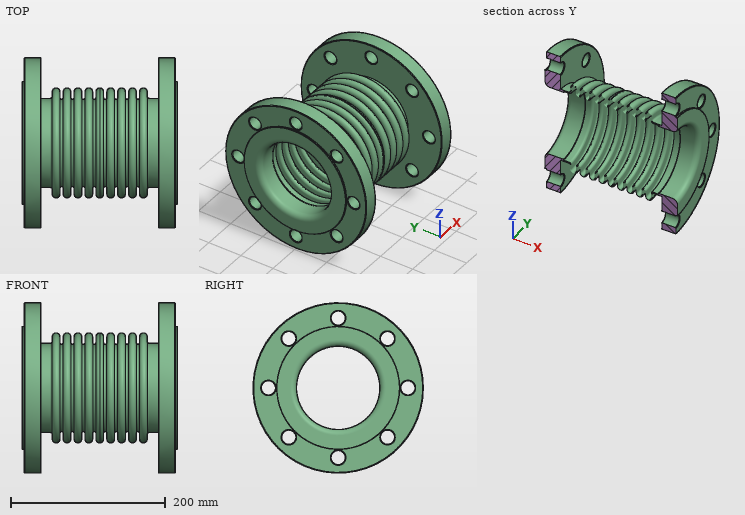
import cadquery as cq
import math


total_length = 200.0
flange_dia = 220.0
flange_thickness = 22.0
flange_chamfer = 1.0
raised_face_dia = 158.0
raised_face_height = 2.5
raised_face_chamfer = 0.5
bore_dia = 107.1
bore_mouth_radius = 8.0

bolt_count = 8
bolt_hole_dia = 18.0
bolt_hole_chamfer = 1.0
bolt_circle_dia = 180.0

neck_outer_dia = 115.3
neck_inner_dia = 110.0
neck_recess_start = 71.3
flare_center_dia = 120.3

convolution_count = 9
pitch = 14.0
crest_outer_dia = 142.1
trough_outer_dia = 112.9
trough_center_dia = 116.8

face_x = total_length / 2
flange_outer_x = face_x - raised_face_height
flange_inner_x = flange_outer_x - flange_thickness
wall = (trough_outer_dia - neck_inner_dia) / 2
trough_outer_radius = (trough_center_dia - trough_outer_dia) / 2
crest_outer_radius = pitch / 2 - trough_outer_radius
crest_center_r = crest_outer_dia / 2 - crest_outer_radius
trough_center_r = trough_center_dia / 2
side_crests = convolution_count // 2
flare_outer_radius = (flare_center_dia - neck_outer_dia) / 2


def arc_to(path, center, radius, start_angle, end_angle):
    """Continue a path along an arc; the path must already be at the start angle."""
    def point(angle):
        turn = math.radians(angle)
        return center[0] + radius * math.cos(turn), center[1] + radius * math.sin(turn)

    return path.threePointArc(point((start_angle + end_angle) / 2), point(end_angle))


def add_bellows(path, neck_r, crest_radius, trough_radius, flare_radius):
    """Run one surface of the bellows wall from the neck to the top of the middle crest."""
    flare_x = side_crests * pitch + crest_radius + flare_radius
    path = path.lineTo(flare_x, neck_r)
    path = arc_to(path, (flare_x, neck_r + flare_radius), flare_radius, 270, 180)
    for index in range(side_crests, 0, -1):
        crest_x = index * pitch
        trough_x = crest_x - pitch / 2
        path = path.lineTo(crest_x + crest_radius, crest_center_r)
        path = arc_to(path, (crest_x, crest_center_r), crest_radius, 0, 180)
        path = path.lineTo(crest_x - crest_radius, trough_center_r)
        path = arc_to(path, (trough_x, trough_center_r), trough_radius, 360, 180)
    path = path.lineTo(crest_radius, crest_center_r)
    return arc_to(path, (0, crest_center_r), crest_radius, 0, 90)


def revolve_about_x(path):
    """Close a half profile down to the axis and revolve it about X."""
    return path.lineTo(0, 0).close().revolve(360, (0, 0, 0), (1, 0, 0))


def outer_body():
    """Solid of the raised face, flange, neck and outer bellows surface."""
    flange_r = flange_dia / 2
    raised_rim_r = raised_face_dia / 2 + raised_face_chamfer
    path = (
        cq.Workplane("XY")
        .moveTo(face_x, 0)
        .lineTo(face_x, raised_face_dia / 2)
        .lineTo(face_x - raised_face_chamfer, raised_rim_r)
        .lineTo(flange_outer_x, raised_rim_r)
        .lineTo(flange_outer_x, flange_r - flange_chamfer)
        .lineTo(flange_outer_x - flange_chamfer, flange_r)
        .lineTo(flange_inner_x + flange_chamfer, flange_r)
        .lineTo(flange_inner_x, flange_r - flange_chamfer)
        .lineTo(flange_inner_x, neck_outer_dia / 2)
    )
    path = add_bellows(
        path, neck_outer_dia / 2, crest_outer_radius, trough_outer_radius, flare_outer_radius
    )
    return revolve_about_x(path)


def inner_space():
    """Rounded bore mouth, bore, neck recess and inside of the bellows."""
    bore_r = bore_dia / 2
    mouth_center = (face_x - bore_mouth_radius, bore_r + bore_mouth_radius)
    path = cq.Workplane("XY").moveTo(face_x, 0).lineTo(face_x, mouth_center[1])
    path = arc_to(path, mouth_center, bore_mouth_radius, 360, 270)
    path = path.lineTo(neck_recess_start, bore_r).lineTo(neck_recess_start, neck_inner_dia / 2)
    path = add_bellows(
        path,
        neck_inner_dia / 2,
        crest_outer_radius - wall,
        trough_outer_radius + wall,
        trough_outer_radius + wall,
    )
    return revolve_about_x(path)


def bolt_holes():
    """Ring of through holes with both rims chamfered."""
    hole_r = bolt_hole_dia / 2
    rim_r = hole_r + bolt_hole_chamfer
    profile = (
        cq.Workplane("XY")
        .moveTo(flange_inner_x, 0)
        .lineTo(flange_inner_x, rim_r)
        .lineTo(flange_inner_x + bolt_hole_chamfer, hole_r)
        .lineTo(flange_outer_x - bolt_hole_chamfer, hole_r)
        .lineTo(flange_outer_x, rim_r)
        .lineTo(flange_outer_x, 0)
        .close()
    )
    hole = profile.revolve(360, (0, 0, 0), (1, 0, 0)).translate((0, 0, bolt_circle_dia / 2))
    holes = cq.Workplane("XY")
    for index in range(bolt_count):
        holes = holes.add(hole.rotate((0, 0, 0), (1, 0, 0), index * 360 / bolt_count))
    return holes


def joint_half():
    """Flange, neck and half of the bellows on the +X side, as one solid."""
    half = outer_body().cut(inner_space())
    for hole in bolt_holes().vals():
        half = half.cut(cq.Workplane(hole))
    return half


right_half = joint_half()
left_half = right_half.mirror("YZ")

result = cq.Compound.makeCompound([left_half.val(), right_half.val()])